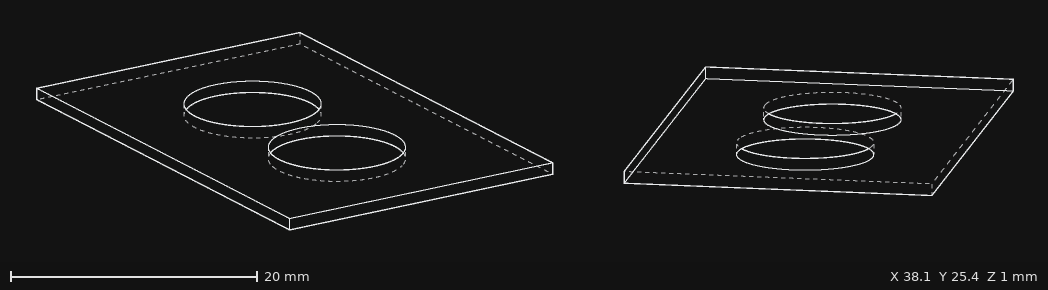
import cadquery as cq

length = 38.1
width = 25.4
thickness = 1.0

hole_diameter = 11.15
hole_spacing = length / 3

plate = cq.Workplane("XY").box(length, width, thickness)

hole_centres = [(-hole_spacing / 2, 0), (hole_spacing / 2, 0)]
result = plate.faces(">Z").workplane().pushPoints(hole_centres).hole(hole_diameter)